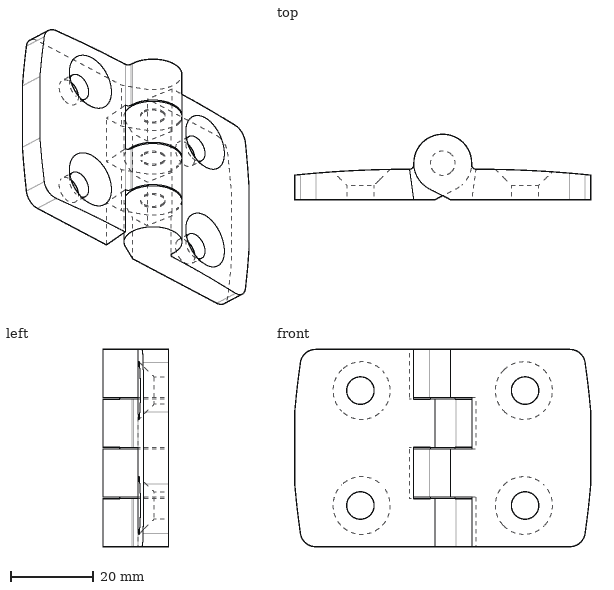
import cadquery as cq
import math

length = 72.0
height = 48.0
depth = 16.0
half_length = length / 2
half_height = height / 2

plate_thickness = 7.5
edge_thickness = 6.05
corner_radius = 3.8
flat_edge_half_height = 8.8
end_inset = 1.9
end_bow = 0.15

hole_diameter = 6.6
bore_depth = 3.5
hole_x = 20.0
hole_z = 14.0

knuckle_radius = 7.05
axis_y = depth - knuckle_radius
root_radius = 1.0
relief_x = 1.95
pin_diameter = 6.0
knuckle_count = 4
knuckle_gap = 0.35
knuckle_height = (height - (knuckle_count - 1) * knuckle_gap) / knuckle_count
knuckle_pitch = knuckle_height + knuckle_gap

root_x = knuckle_radius + root_radius
root_center_y = plate_thickness + root_radius


def on_barrel(angle):
    """Point on the knuckle barrel at an angle in radians from +X."""
    return (knuckle_radius * math.cos(angle), axis_y + knuckle_radius * math.sin(angle))


def plate_outline():
    """Right leaf blank in the XZ plane, with a bowed outer end and sharp corners."""
    inset_x = half_length - end_inset
    rise = half_height - flat_edge_half_height
    chord = math.hypot(end_inset, rise)
    bow_x = half_length - end_inset / 2 + end_bow * rise / chord
    bow_z = (flat_edge_half_height + half_height) / 2 + end_bow * end_inset / chord
    return (
        cq.Workplane("XZ")
        .moveTo(0, -half_height)
        .lineTo(inset_x, -half_height)
        .threePointArc((bow_x, -bow_z), (half_length, -flat_edge_half_height))
        .lineTo(half_length, flat_edge_half_height)
        .threePointArc((bow_x, bow_z), (inset_x, half_height))
        .lineTo(0, half_height)
        .close()
        .extrude(-depth)
    )


def rounded_outline():
    """Plate outline with its two outer corners rounded."""
    outer_corners = "(>Z or <Z) and (not <X)"
    return plate_outline().edges("|Y").edges(outer_corners).fillet(corner_radius)


def plate():
    """Right leaf plate with a crowned back and a sloping wall at the hinge."""
    section = (
        cq.Workplane("XY")
        .workplane(offset=-half_height)
        .moveTo(knuckle_radius, 0)
        .lineTo(half_length, 0)
        .lineTo(half_length, edge_thickness)
    )
    drop = plate_thickness - edge_thickness
    run = half_length - root_x
    crown_radius = (run**2 + drop**2) / (2 * drop)
    crown_mid_angle = math.asin(run / crown_radius) / 2
    crown_mid = (
        root_x + crown_radius * math.sin(crown_mid_angle),
        plate_thickness - crown_radius * (1 - math.cos(crown_mid_angle)),
    )
    section = section.threePointArc(crown_mid, (root_x, plate_thickness)).close()
    return section.extrude(height).intersect(rounded_outline())


def knuckle(bottom_z):
    """Barrel of the right leaf, joined to the plate by a tangent underside and a root fillet."""
    relief_distance = math.hypot(relief_x, axis_y)
    relief_angle = math.atan2(-axis_y, relief_x)
    underside_angle = relief_angle - math.acos(knuckle_radius / relief_distance)
    far_angle = (underside_angle + 2 * math.pi) / 2
    fillet_mid = (
        root_x - root_radius * math.cos(math.pi / 4),
        root_center_y - root_radius * math.sin(math.pi / 4),
    )
    return (
        cq.Workplane("XY")
        .workplane(offset=bottom_z)
        .moveTo(relief_x, 0)
        .lineTo(*on_barrel(underside_angle))
        .threePointArc(on_barrel(far_angle), on_barrel(0))
        .lineTo(knuckle_radius, root_center_y)
        .threePointArc(fillet_mid, (root_x, plate_thickness))
        .lineTo(knuckle_radius, 0)
        .close()
        .extrude(knuckle_height)
    )


def countersunk_hole(z):
    """Cutter for a hole that opens into a 90 degree countersink toward the back of the plate."""
    radius = hole_diameter / 2
    cone_depth = plate_thickness - bore_depth
    section = (
        cq.Workplane("XY")
        .lineTo(radius, 0)
        .lineTo(radius, bore_depth)
        .lineTo(radius + cone_depth, plate_thickness)
        .lineTo(0, plate_thickness)
        .close()
    )
    return section.revolve(360, (0, 0, 0), (0, 1, 0)).translate((hole_x, 0, z))


def leaf():
    """Right leaf with the first and third knuckles from the top and two mounting holes."""
    body = plate()
    for index in range(0, knuckle_count, 2):
        bottom_z = half_height - knuckle_height - index * knuckle_pitch
        body = body.union(knuckle(bottom_z))
    for z in (-hole_z, hole_z):
        body = body.cut(countersunk_hole(z))
    return body


right_leaf = leaf()
left_leaf = right_leaf.rotate((0, 0, 0), (0, 1, 0), 180)
pin = (
    cq.Workplane("XY")
    .workplane(offset=-half_height)
    .center(0, axis_y)
    .circle(pin_diameter / 2)
    .extrude(height)
)
result = right_leaf.union(left_leaf).union(pin)